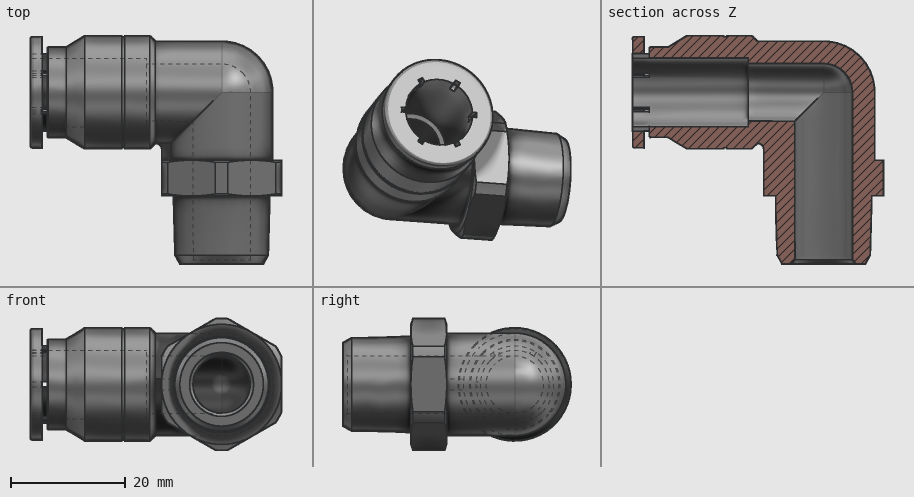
import cadquery as cq
import math


body_radius = 17.9 / 2
passage_radius = 10.0 / 2

across_flats = 21.0
hex_corner_diameter = 23.1
hex_back = -11.85
hex_length = 6.25
hex_front = hex_back - hex_length
hex_chamfer_length = 0.35

thread_end = -30.0
thread_root_radius = 16.9 / 2
thread_tip_radius = 16.35 / 2
thread_chamfer_length = 1.6
thread_face_radius = 14.57 / 2
mouth_radius = 11.2 / 2
mouth_depth = 0.8

total_length = 43.9
collar_face = across_flats / 2 - total_length
collar_radius = 19.5 / 2
collar_thickness = 2.05
collar_edge_round = 0.45
gap_length = 0.88
stem_radius = 6.75
neck_radius = 15.85 / 2
neck_length = 3.3
neck_edge_chamfer = 0.2
sleeve_radius = 19.8 / 2
shoulder_length = 3.3
sleeve_end = -11.55
sleeve_end_chamfer = 0.95
groove_position = -17.2
groove_width = 0.53
groove_depth = 0.18

socket_radius = 12.0 / 2
socket_bottom = -13.15
slot_count = 6
slot_width = 0.88
slot_length = collar_thickness + gap_length

rib_thickness = 1.9
rib_fillet = 0.9
rib_edge = -across_flats / 2


def revolve_about_x(points):
    """Revolve an (x, radius) outline about the tube axis."""
    return cq.Workplane("XY").polyline(points).close().revolve(360, (0, 0, 0), (1, 0, 0))


def revolve_about_y(points):
    """Revolve a (radius, y) outline about the thread axis."""
    return cq.Workplane("XY").polyline(points).close().revolve(360, (0, 0, 0), (0, 1, 0))


def make_bend(radius, tube_end, outlet_end):
    """Two round legs from the origin, with a quarter ball closing the outer corner."""
    tube_leg = cq.Workplane("YZ").circle(radius).extrude(tube_end)
    outlet_leg = cq.Workplane("XZ").circle(radius).extrude(-outlet_end)
    corner = (
        cq.Workplane("YZ")
        .moveTo(0, -radius)
        .threePointArc((radius, 0), (0, radius))
        .close()
        .revolve(90, (0, 0, 0), (0, -1, 0))
    )
    return tube_leg.union(outlet_leg).union(corner)


def make_collar():
    collar = cq.Workplane("YZ", origin=(collar_face, 0, 0)).circle(collar_radius).extrude(collar_thickness)
    return collar.faces("<X").edges().fillet(collar_edge_round)


def make_sleeve():
    """Collar stem, neck, conical shoulder and grooved sleeve."""
    stem_start = collar_face + collar_thickness
    neck_start = stem_start + gap_length
    neck_end = neck_start + neck_length
    groove_start = groove_position - groove_width / 2
    groove_end = groove_position + groove_width / 2
    return revolve_about_x([
        (stem_start, 0),
        (stem_start, stem_radius),
        (neck_start, stem_radius),
        (neck_start, neck_radius - neck_edge_chamfer),
        (neck_start + neck_edge_chamfer, neck_radius),
        (neck_end, neck_radius),
        (neck_end + shoulder_length, sleeve_radius),
        (groove_start, sleeve_radius),
        (groove_start, sleeve_radius - groove_depth),
        (groove_end, sleeve_radius - groove_depth),
        (groove_end, sleeve_radius),
        (sleeve_end - sleeve_end_chamfer, sleeve_radius),
        (sleeve_end, body_radius),
        (sleeve_end, 0),
    ])


def make_hexagon():
    """Hexagon with rounded corners and both ends chamfered."""
    corner_radius = hex_corner_diameter / 2
    face_radius = across_flats / 2
    prism = (
        cq.Workplane("XZ", origin=(0, hex_back, 0))
        .transformed(rotate=(0, 0, 90))
        .polygon(6, across_flats / math.cos(math.pi / 6))
        .extrude(hex_length)
    )
    envelope = revolve_about_y([
        (0, hex_back),
        (face_radius, hex_back),
        (corner_radius, hex_back - hex_chamfer_length),
        (corner_radius, hex_front + hex_chamfer_length),
        (face_radius, hex_front),
        (0, hex_front),
    ])
    return prism.intersect(envelope)


def make_thread():
    return revolve_about_y([
        (0, hex_front),
        (thread_root_radius, hex_front),
        (thread_tip_radius, thread_end + thread_chamfer_length),
        (thread_face_radius, thread_end),
        (0, thread_end),
    ])


def make_rib():
    """Thin web with a hollow fillet running out below the sleeve end."""
    fillet_start = rib_edge - rib_fillet
    fillet_end = -body_radius - rib_fillet
    fillet_middle = rib_fillet * math.sqrt(0.5)
    return (
        cq.Workplane("XY")
        .moveTo(0, 0)
        .lineTo(fillet_start, 0)
        .lineTo(fillet_start, -body_radius)
        .threePointArc((fillet_start + fillet_middle, fillet_end + fillet_middle), (rib_edge, fillet_end))
        .lineTo(rib_edge, hex_back)
        .lineTo(0, hex_back)
        .close()
        .extrude(rib_thickness / 2, both=True)
    )


def make_mouth():
    """Conical lead-in of the threaded end."""
    return revolve_about_y([
        (0, thread_end),
        (mouth_radius, thread_end),
        (passage_radius, thread_end + mouth_depth),
        (0, thread_end + mouth_depth),
    ])


def make_collar_slots():
    """Radial slots from the socket to the outside of the collar stem."""
    slots = cq.Workplane("XY")
    for index in range(slot_count):
        slot = (
            cq.Workplane("XY")
            .box(slot_length, stem_radius, slot_width, centered=(False, False, True))
            .translate((collar_face, 0, 0))
            .rotate((0, 0, 0), (1, 0, 0), index * 360 / slot_count)
        )
        slots = slots.add(slot)
    return slots.combine()


socket = (
    cq.Workplane("YZ", origin=(collar_face, 0, 0))
    .circle(socket_radius)
    .extrude(socket_bottom - collar_face)
)

result = (
    make_bend(body_radius, sleeve_end, hex_back)
    .union(make_sleeve())
    .union(make_collar())
    .union(make_hexagon())
    .union(make_thread())
    .union(make_rib())
    .cut(make_bend(passage_radius, collar_face, thread_end))
    .cut(socket)
    .cut(make_mouth())
    .cut(make_collar_slots())
)